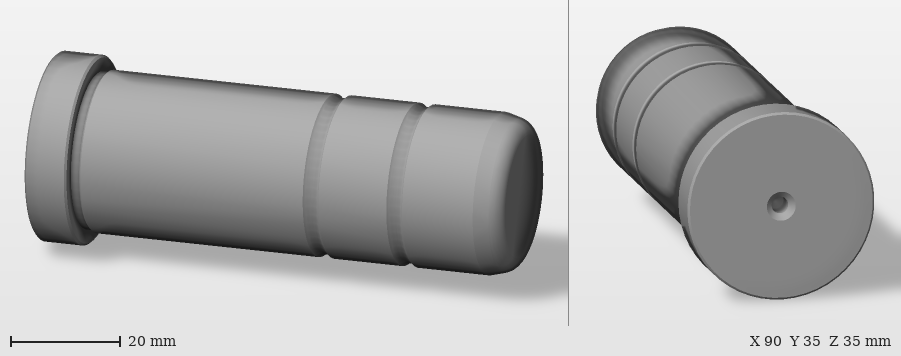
import cadquery as cq
import math

LENGTH = 90.0
HEAD_DIAMETER = 35.0
HEAD_LENGTH = 8.0
HEAD_CHAMFER = 0.4
BODY_DIAMETER = 30.0

RELIEF_DEPTH = 0.5
RELIEF_END = 9.5

GROOVE_CENTRES = (54.0, 70.0)
GROOVE_WIDTH = 3.0
GROOVE_RADIUS = 2.0

LEAD_START = 85.0
LEAD_ANGLE = math.radians(15)
NOSE_RADIUS = 3.0

CENTRE_DRILL_DIAMETER = 3.1
COUNTERSINK_DIAMETER = 5.4
COUNTERSINK_HALF_ANGLE = math.radians(45)
CENTRE_DRILL_DEPTH = 5.0
DRILL_TIP_HALF_ANGLE = math.radians(60)

HEAD_RADIUS = HEAD_DIAMETER / 2
BODY_RADIUS = BODY_DIAMETER / 2


def revolve_about_x(profile):
    """Revolve a closed XY profile a full turn about the X axis."""
    return profile.close().revolve(360, (0, 0, 0), (1, 0, 0))


def make_pillar():
    """Head, relief, body and rounded nose as one revolved solid."""
    relief_radius = BODY_RADIUS - RELIEF_DEPTH

    nose_centre_x = LENGTH - NOSE_RADIUS
    tangent_x = nose_centre_x + NOSE_RADIUS * math.sin(LEAD_ANGLE)
    tangent_y = BODY_RADIUS - (tangent_x - LEAD_START) * math.tan(LEAD_ANGLE)
    nose_centre_y = tangent_y - NOSE_RADIUS * math.cos(LEAD_ANGLE)
    middle_angle = (math.pi / 2 - LEAD_ANGLE) / 2
    nose_middle = (
        nose_centre_x + NOSE_RADIUS * math.cos(middle_angle),
        nose_centre_y + NOSE_RADIUS * math.sin(middle_angle),
    )

    profile = (
        cq.Workplane("XY")
        .moveTo(0, 0)
        .lineTo(0, HEAD_RADIUS - HEAD_CHAMFER)
        .lineTo(HEAD_CHAMFER, HEAD_RADIUS)
        .lineTo(HEAD_LENGTH - HEAD_CHAMFER, HEAD_RADIUS)
        .lineTo(HEAD_LENGTH, HEAD_RADIUS - HEAD_CHAMFER)
        .lineTo(HEAD_LENGTH, relief_radius)
        .lineTo(RELIEF_END, relief_radius)
        .lineTo(RELIEF_END + RELIEF_DEPTH, BODY_RADIUS)
        .lineTo(LEAD_START, BODY_RADIUS)
        .lineTo(tangent_x, tangent_y)
        .threePointArc(nose_middle, (LENGTH, nose_centre_y))
        .lineTo(LENGTH, 0)
    )
    return revolve_about_x(profile)


def make_oil_groove(centre_x):
    """Ring with a circular-arc bottom, to be cut from the body."""
    half_width = GROOVE_WIDTH / 2
    depth = GROOVE_RADIUS - math.sqrt(GROOVE_RADIUS**2 - half_width**2)
    profile = (
        cq.Workplane("XY")
        .moveTo(centre_x - half_width, BODY_RADIUS)
        .threePointArc(
            (centre_x, BODY_RADIUS - depth),
            (centre_x + half_width, BODY_RADIUS),
        )
        .lineTo(centre_x + half_width, HEAD_RADIUS)
        .lineTo(centre_x - half_width, HEAD_RADIUS)
    )
    return revolve_about_x(profile)


def make_centre_hole():
    """Countersunk centre hole with a conical drill tip."""
    drill_radius = CENTRE_DRILL_DIAMETER / 2
    countersink_radius = COUNTERSINK_DIAMETER / 2
    countersink_depth = (countersink_radius - drill_radius) / math.tan(COUNTERSINK_HALF_ANGLE)
    tip_depth = CENTRE_DRILL_DEPTH + drill_radius / math.tan(DRILL_TIP_HALF_ANGLE)
    profile = (
        cq.Workplane("XY")
        .moveTo(0, 0)
        .lineTo(0, countersink_radius)
        .lineTo(countersink_depth, drill_radius)
        .lineTo(CENTRE_DRILL_DEPTH, drill_radius)
        .lineTo(tip_depth, 0)
    )
    return revolve_about_x(profile)


result = make_pillar()
for groove_centre in GROOVE_CENTRES:
    result = result.cut(make_oil_groove(groove_centre))
result = result.cut(make_centre_hole())